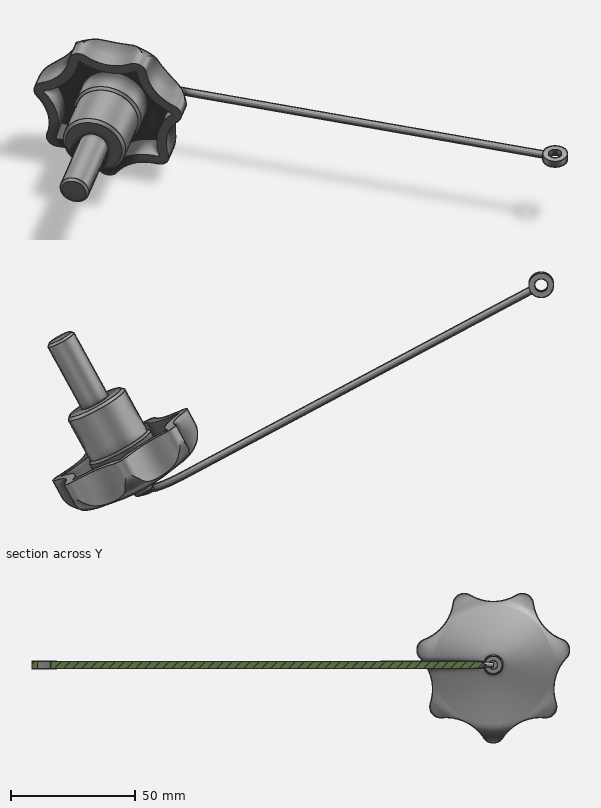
import cadquery as cq
import math


lobe_count = 7
lobe_pitch = 360 / lobe_count
first_lobe_angle = -90
knob_radius = 31.5
lobe_radius = 4.5
valley_radius = 25.6
lobe_centre_radius = knob_radius - lobe_radius

crown_height = 18.5
crown_sphere_radius = 88
shoulder_radius = 10

wall = 4
pocket_depth = 10

hub_diameter = 28
collar_diameter = 26
collar_length = 21
collar_chamfer = 1.2
hub_step = (hub_diameter - collar_diameter) / 2
stud_diameter = 12
stud_length = 30
stud_chamfer = 1

button_diameter = 8
button_top = 20.9
button_chamfer = 0.5
neck_diameter = 3.5
neck_top = 21.5

tether_diameter = 3
tether_y = 22.2
tether_bend_x = 15.2
tether_bend_radius = 60
tether_end_x = 4.2
pin_diameter = 2.2
eye_diameter = 10
eye_hole_diameter = 5.3
eye_thickness = 3.1
eye_x = 181
eye_overlap = 1


def polar(radius, angle):
    """Point at a radius and an angle in degrees."""
    return radius * math.cos(math.radians(angle)), radius * math.sin(math.radians(angle))


def scallop_radius():
    """Radius of the hollow arc that touches the valley circle and two neighbouring lobes."""
    cos_half = math.cos(math.radians(lobe_pitch / 2))
    v, c, r = valley_radius, lobe_centre_radius, lobe_radius
    return (v**2 + c**2 - r**2 - 2 * v * c * cos_half) / (2 * (r + c * cos_half - v))


def lobe_end_angle():
    """Angle, about a lobe centre and from its outward direction, where the lobe meets a scallop."""
    scallop_centre = valley_radius + scallop_radius()
    x, y = polar(scallop_centre, lobe_pitch / 2)
    return math.degrees(math.atan2(y, x - lobe_centre_radius))


def star_outline(inset):
    """Grip outline, moved inwards by the inset."""
    tip_radius = lobe_radius - inset
    swing = lobe_end_angle()

    def tip_point(lobe_angle, swing_angle):
        centre_x, centre_y = polar(lobe_centre_radius, lobe_angle)
        x, y = polar(tip_radius, lobe_angle + swing_angle)
        return centre_x + x, centre_y + y

    outline = cq.Workplane("XZ").moveTo(*tip_point(first_lobe_angle, -swing))
    for i in range(lobe_count):
        angle = first_lobe_angle + i * lobe_pitch
        valley = polar(valley_radius - inset, angle + lobe_pitch / 2)
        outline = outline.threePointArc(tip_point(angle, 0), tip_point(angle, swing))
        outline = outline.threePointArc(valley, tip_point(angle + lobe_pitch, -swing))
    return outline.close()


def revolve_about_y(profile):
    return profile.close().revolve(360, (0, 0, 0), (0, 1, 0))


def crown_envelope():
    """Turned body with a spherical crown and a round shoulder tangent to crown and rim cylinder."""
    sphere_y = crown_height - crown_sphere_radius
    shoulder_x = knob_radius - shoulder_radius
    centre_distance = crown_sphere_radius - shoulder_radius
    shoulder_y = sphere_y + math.sqrt(centre_distance**2 - shoulder_x**2)
    tangent_angle = math.degrees(math.atan2(shoulder_y - sphere_y, shoulder_x))

    def on_sphere(angle):
        x, y = polar(crown_sphere_radius, angle)
        return x, sphere_y + y

    mid_x, mid_y = polar(shoulder_radius, tangent_angle / 2)
    profile = (
        cq.Workplane("XY")
        .lineTo(knob_radius, 0)
        .lineTo(knob_radius, shoulder_y)
        .threePointArc((shoulder_x + mid_x, shoulder_y + mid_y), on_sphere(tangent_angle))
        .threePointArc(on_sphere((tangent_angle + 90) / 2), (0, crown_height))
    )
    return revolve_about_y(profile)


def make_grip():
    grip = star_outline(0).extrude(-crown_height).intersect(crown_envelope())
    return grip.cut(star_outline(wall).extrude(-pocket_depth))


def make_hub_and_stud():
    collar_radius = collar_diameter / 2
    stud_radius = stud_diameter / 2
    stud_end = -collar_length - stud_length
    profile = (
        cq.Workplane("XY")
        .moveTo(0, pocket_depth)
        .lineTo(hub_diameter / 2, pocket_depth)
        .lineTo(hub_diameter / 2, 0)
        .lineTo(collar_radius, -hub_step)
        .lineTo(collar_radius, -collar_length + collar_chamfer)
        .lineTo(collar_radius - collar_chamfer, -collar_length)
        .lineTo(stud_radius, -collar_length)
        .lineTo(stud_radius, stud_end + stud_chamfer)
        .lineTo(stud_radius - stud_chamfer, stud_end)
        .lineTo(0, stud_end)
    )
    return revolve_about_y(profile)


def make_button():
    button_radius = button_diameter / 2
    neck_radius = neck_diameter / 2
    profile = (
        cq.Workplane("XY")
        .moveTo(0, pocket_depth)
        .lineTo(button_radius, pocket_depth)
        .lineTo(button_radius, button_top - button_chamfer)
        .lineTo(button_radius - button_chamfer, button_top)
        .lineTo(neck_radius, button_top)
        .lineTo(neck_radius, neck_top)
        .lineTo(0, neck_top)
    )
    return revolve_about_y(profile)


def make_tether():
    """Straight cord that bends down towards the button and joins it by a thinner pin."""
    bend_angle = math.degrees(math.asin((tether_bend_x - tether_end_x) / tether_bend_radius))
    bend_centre_y = tether_y - tether_bend_radius

    def on_bend(angle):
        x, y = polar(tether_bend_radius, 90 + angle)
        return tether_bend_x + x, bend_centre_y + y

    eye_end_x = eye_x - eye_diameter / 2 + eye_overlap
    button_end = on_bend(bend_angle)
    path = (
        cq.Workplane("XY")
        .moveTo(eye_end_x, tether_y)
        .lineTo(tether_bend_x, tether_y)
        .threePointArc(on_bend(bend_angle / 2), button_end)
    )
    section = cq.Workplane("YZ", origin=(eye_end_x, tether_y, 0)).circle(tether_diameter / 2)
    cord = section.sweep(path)

    pin_start = cq.Vector(*button_end)
    pin_run = cq.Vector(0, button_top) - pin_start
    pin = cq.Solid.makeCylinder(pin_diameter / 2, pin_run.Length, pin_start, pin_run)
    return cord.union(cq.Workplane(pin))


def make_eye():
    ring = cq.Workplane("XY", origin=(eye_x, tether_y, -eye_thickness / 2))
    return ring.circle(eye_diameter / 2).circle(eye_hole_diameter / 2).extrude(eye_thickness)


result = make_grip().union(make_hub_and_stud()).union(make_button()).union(make_tether()).union(make_eye())